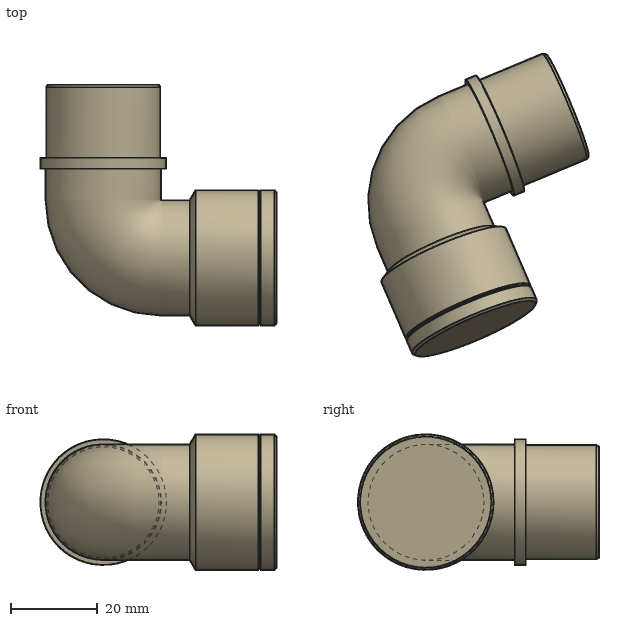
import cadquery as cq

overall_length = 55.7
overall_width = 54.55
pipe_radius = 26.7 / 2
bend_radius = 13.4

socket_radius = 31.35 / 2
socket_cone_start = 20.0
socket_cone_length = 1.35
socket_chamfer = 0.55
groove_start = 35.75
groove_width = 0.65
groove_depth = groove_width / 2

spigot_radius = 26.45 / 2
spigot_chamfer_length = 0.65
spigot_chamfer_depth = 0.4
collar_radius = 29.05 / 2
collar_start = 20.55
collar_width = 2.55

socket_reach = overall_width - collar_radius
spigot_reach = overall_length - socket_radius


def make_bend():
    """Quarter turn about a vertical axis through (bend_radius, bend_radius)."""
    return (
        cq.Workplane("YZ", origin=(bend_radius, 0, 0))
        .circle(pipe_radius)
        .revolve(90, (bend_radius, 0, 0), (bend_radius, -1, 0))
    )


def make_socket_leg():
    """Neck, flared socket, V-groove and end chamfer turned about the X axis."""
    profile = [
        (bend_radius, 0),
        (bend_radius, pipe_radius),
        (socket_cone_start, pipe_radius),
        (socket_cone_start + socket_cone_length, socket_radius),
        (groove_start, socket_radius),
        (groove_start + groove_width / 2, socket_radius - groove_depth),
        (groove_start + groove_width, socket_radius),
        (socket_reach - socket_chamfer, socket_radius),
        (socket_reach, socket_radius - socket_chamfer),
        (socket_reach, 0),
    ]
    return cq.Workplane("XY").polyline(profile).close().revolve(360, (0, 0, 0), (1, 0, 0))


def make_spigot_leg():
    """Neck, collar and chamfered spigot turned about the Y axis."""
    collar_end = collar_start + collar_width
    profile = [
        (0, bend_radius),
        (pipe_radius, bend_radius),
        (pipe_radius, collar_start),
        (collar_radius, collar_start),
        (collar_radius, collar_end),
        (spigot_radius, collar_end),
        (spigot_radius, spigot_reach - spigot_chamfer_length),
        (spigot_radius - spigot_chamfer_depth, spigot_reach),
        (0, spigot_reach),
    ]
    return cq.Workplane("XY").polyline(profile).close().revolve(360, (0, 0, 0), (0, 1, 0))


result = make_bend().union(make_socket_leg()).union(make_spigot_leg())